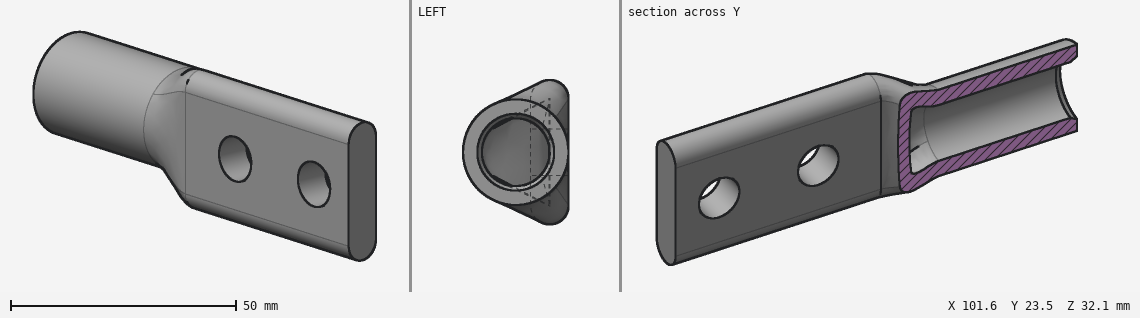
import cadquery as cq
import math

total_length = 101.6
barrel_length = 35.6
barrel_radius = 11.73
transition_length = 13.4
tongue_height = 32.1
tongue_thickness = 8.4

bore_radius = 7.5
countersink_radius = 8.5
countersink_depth = 1.7
slit_thickness = 0.2

hole_diameter = 10.4
hole_spacing = 25.4
hole_end_distance = 11.2

flat_half_angle = 41.0
ease_share = 0.75
section_count = 6

tongue_start = barrel_length + transition_length
tongue_length = total_length - tongue_start
tongue_y = tongue_thickness / 2 - barrel_radius
flat_half_height = (tongue_height - tongue_thickness) / 2


def circle_points(radius):
    """Corners and midpoints of the four arcs, in order round the circle."""
    angles = [-180 + flat_half_angle, -90, -flat_half_angle, 0]
    angles += [flat_half_angle, 90, 180 - flat_half_angle, 180]
    radians = [math.radians(angle) for angle in angles]
    return [(radius * math.cos(a), radius * math.sin(a)) for a in radians]


def slot_points(thickness):
    """Matching corners and midpoints of a round-ended slot at the tongue's middle plane."""
    front = tongue_y - thickness / 2
    back = tongue_y + thickness / 2
    tip = flat_half_height + thickness / 2
    return [
        (front, -flat_half_height),
        (tongue_y, -tip),
        (back, -flat_half_height),
        (back, 0),
        (back, flat_half_height),
        (tongue_y, tip),
        (front, flat_half_height),
        (front, 0),
    ]


def section_wire(x, points, flat_faces):
    """Closed section at x: two end arcs joined by lines or shallow arcs."""
    corners = [cq.Vector(x, y, z) for y, z in points]
    edges = []
    for start in range(0, len(corners), 2):
        first = corners[start]
        middle = corners[start + 1]
        last = corners[(start + 2) % len(corners)]
        is_face = start % 4 == 2
        if is_face and flat_faces:
            edges.append(cq.Edge.makeLine(first, last))
        else:
            edges.append(cq.Edge.makeThreePointArc(first, middle, last))
    return cq.Wire.assembleEdges(edges)


def flattening_loft(radius, thickness):
    """Smooth change from the round barrel section to a flat slot."""
    round_end = circle_points(radius)
    flat_end = slot_points(thickness)
    wires = []
    for index in range(section_count):
        t = index / (section_count - 1)
        blend = ease_share * t * t * (3 - 2 * t) + (1 - ease_share) * t
        points = [
            (y0 + blend * (y1 - y0), z0 + blend * (z1 - z0))
            for (y0, z0), (y1, z1) in zip(round_end, flat_end)
        ]
        x = barrel_length + t * transition_length
        wires.append(section_wire(x, points, index == section_count - 1))
    return cq.Workplane(obj=cq.Solid.makeLoft(wires))


barrel = cq.Workplane("YZ").circle(barrel_radius).extrude(barrel_length)
tongue = (
    cq.Workplane("YZ", origin=(tongue_start, tongue_y, 0))
    .slot2D(tongue_height, tongue_thickness, 90)
    .extrude(tongue_length)
)
body = barrel.union(flattening_loft(barrel_radius, tongue_thickness)).union(tongue)

bore = cq.Workplane("YZ").circle(bore_radius).extrude(barrel_length)
countersink = cq.Workplane(
    obj=cq.Solid.makeCone(
        countersink_radius,
        bore_radius,
        countersink_depth,
        pnt=cq.Vector(0, 0, 0),
        dir=cq.Vector(1, 0, 0),
    )
)
body = body.cut(bore).cut(countersink).cut(flattening_loft(bore_radius, slit_thickness))

for hole in range(2):
    hole_x = total_length - hole_end_distance - hole * hole_spacing
    drill = (
        cq.Workplane("XZ", origin=(hole_x, tongue_y, 0))
        .circle(hole_diameter / 2)
        .extrude(tongue_thickness, both=True)
    )
    body = body.cut(drill)

result = body